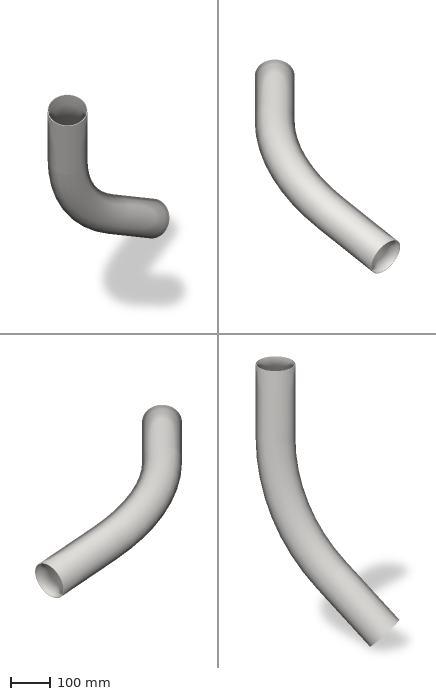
import cadquery as cq
import math

overall_height = 742.0
outer_diameter = 102.0
inner_diameter = 99.0
leg_length = 2 * outer_diameter
bend_angle = math.radians(45)

outer_radius = outer_diameter / 2
lower_leg_height = leg_length * math.cos(bend_angle)
rim_height = outer_radius * math.sin(bend_angle)
bend_height = overall_height - leg_length - lower_leg_height - rim_height
bend_radius = bend_height / math.sin(bend_angle)


def bend_point(angle):
    """Centre-line point (Y, Z) after turning by angle from the upper leg."""
    return (bend_radius * (1 - math.cos(angle)), -bend_radius * math.sin(angle))


bend_end = bend_point(bend_angle)
lower_end = (
    bend_end[0] + leg_length * math.sin(bend_angle),
    bend_end[1] - lower_leg_height,
)
centre_line = (
    cq.Workplane("YZ")
    .moveTo(0, leg_length)
    .lineTo(0, 0)
    .threePointArc(bend_point(bend_angle / 2), bend_end)
    .lineTo(*lower_end)
)

result = (
    cq.Workplane("XY", origin=(0, 0, leg_length))
    .circle(outer_radius)
    .circle(inner_diameter / 2)
    .sweep(centre_line)
)